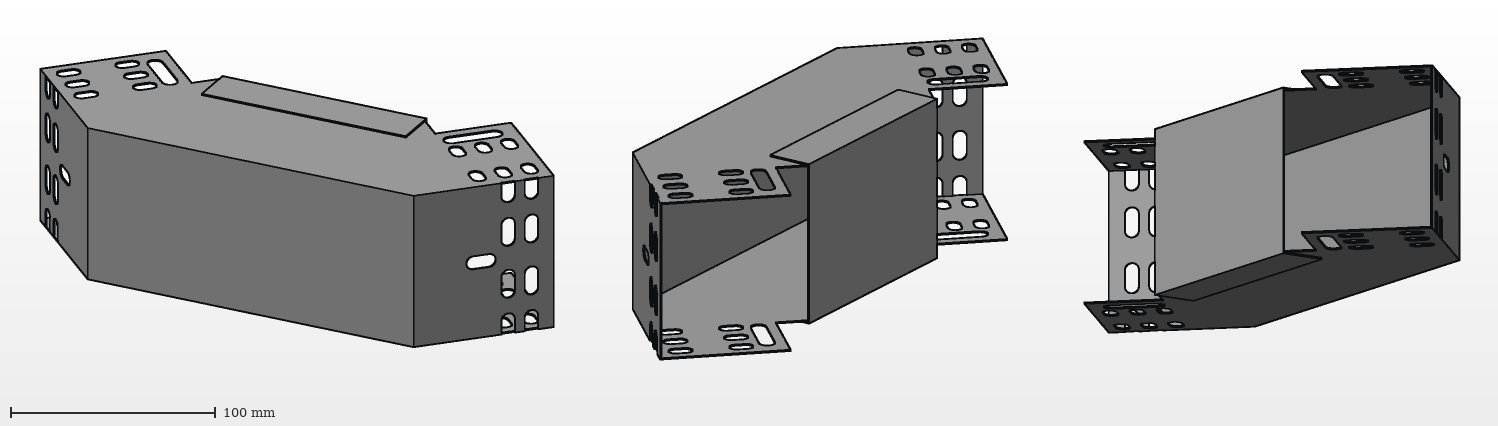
import cadquery as cq
import math

SPAN = 279.8
DEPTH = 97.0
HEIGHT = 83.0
SHEET = 0.75
ARM_WIDTH = 65.0
ARM_INNER_LENGTH = 39.2

COVER_LENGTH = 111.0
COVER_DEPTH = 23.0
COVER_BACK = 81.7

SLOT_WIDTH = 7.0
PLATE_SLOT_LENGTH = 12.0
PLATE_SLOT_FIRST = 8.7
PLATE_SLOT_PITCH = 13.5
PLATE_SLOT_COLUMNS = 3
PLATE_SLOT_ROWS = (11.8, 42.0)
LONG_SLOT_LENGTH = 30.2
LONG_SLOT_WIDTH = 7.8
LONG_SLOT_ALONG = 23.0
LONG_SLOT_ACROSS = 55.5

WALL_SLOT_LENGTH = 15.0
WALL_SLOT_COLUMNS = (11.5, 23.5)
INNER_SLOT_HEIGHT = 14.0
EDGE_SLOT_HEIGHT = 37.5
CROSS_SLOT_LENGTH = 15.0
CROSS_SLOT_ALONG = 37.5

ARM_ANGLE = 45.0
DIAGONAL = math.sqrt(0.5)
HOUSING_HEIGHT = HEIGHT - 2 * SHEET
INNER_HEIGHT = HOUSING_HEIGHT - 2 * SHEET
WALL_RISE = DEPTH - ARM_WIDTH * DIAGONAL
INNER_EDGE = COVER_BACK - SHEET
TIP = (-SPAN / 2, WALL_RISE)


def plan_outline():
    """Closed outline of the top and bottom plates."""
    front_x = SPAN / 2 - WALL_RISE
    end_x = SPAN / 2 - ARM_WIDTH * DIAGONAL
    notch_x = end_x - ARM_INNER_LENGTH * DIAGONAL
    notch_y = DEPTH - ARM_INNER_LENGTH * DIAGONAL
    inner_x = notch_x - (INNER_EDGE - notch_y)
    right_side = [
        (front_x, 0),
        (SPAN / 2, WALL_RISE),
        (end_x, DEPTH),
        (notch_x, notch_y),
        (inner_x, INNER_EDGE),
    ]
    left_side = [(-x, y) for x, y in reversed(right_side)]
    return right_side + left_side


def interior():
    """Space between the plates and behind the three walls, open at the inner side."""
    wall_offset = SHEET / DIAGONAL
    front_x = SPAN / 2 - WALL_RISE + SHEET - wall_offset
    far_x = front_x + DEPTH
    points = [
        (-front_x, SHEET),
        (front_x, SHEET),
        (far_x, SHEET + DEPTH),
        (-far_x, SHEET + DEPTH),
    ]
    return cq.Workplane("XY").polyline(points).close().extrude(INNER_HEIGHT / 2, both=True)


def arm_plate_slots():
    """Cutters for the left arm's plates; local X runs along the arm, local Y across it."""
    short_slots = [
        (PLATE_SLOT_FIRST + column * PLATE_SLOT_PITCH, row)
        for column in range(PLATE_SLOT_COLUMNS)
        for row in PLATE_SLOT_ROWS
    ]
    cutters = (
        cq.Workplane("XY")
        .pushPoints(short_slots)
        .slot2D(PLATE_SLOT_LENGTH, SLOT_WIDTH, 90)
        .extrude(HOUSING_HEIGHT, both=True)
    )
    long_slot = (
        cq.Workplane("XY")
        .center(LONG_SLOT_ALONG, LONG_SLOT_ACROSS)
        .slot2D(LONG_SLOT_LENGTH, LONG_SLOT_WIDTH)
        .extrude(HOUSING_HEIGHT, both=True)
    )
    return cutters.union(long_slot)


def arm_wall_slots():
    """Cutters through the thickness of the left arm's outer wall, which lies on local Y = 0."""
    heights = (-EDGE_SLOT_HEIGHT, -INNER_SLOT_HEIGHT, INNER_SLOT_HEIGHT, EDGE_SLOT_HEIGHT)
    upright_slots = [(along, height) for along in WALL_SLOT_COLUMNS for height in heights]
    cutters = (
        cq.Workplane("XZ")
        .pushPoints(upright_slots)
        .slot2D(WALL_SLOT_LENGTH, SLOT_WIDTH, 90)
        .extrude(SHEET, both=True)
    )
    cross_slot = (
        cq.Workplane("XZ")
        .center(CROSS_SLOT_ALONG, 0)
        .slot2D(CROSS_SLOT_LENGTH, SLOT_WIDTH)
        .extrude(SHEET, both=True)
    )
    return cutters.union(cross_slot)


def on_left_arm(cutters):
    """Turn and move cutters from the arm's local axes to the left arm."""
    return cutters.rotate((0, 0, 0), (0, 0, 1), -ARM_ANGLE).translate((*TIP, 0))


def make_housing():
    """Elbow of a cable tray: two plates joined by three outer walls, slotted at both arms."""
    body = cq.Workplane("XY").polyline(plan_outline()).close().extrude(HOUSING_HEIGHT / 2, both=True)
    body = body.cut(interior())
    plate_slots = on_left_arm(arm_plate_slots())
    wall_slots = on_left_arm(arm_wall_slots())
    between_plates = cq.Workplane("XY").box(2 * SPAN, 2 * SPAN, INNER_HEIGHT)
    body = body.cut(plate_slots).cut(plate_slots.mirror("YZ"))
    body = body.cut(wall_slots.intersect(between_plates))
    body = body.cut(wall_slots.mirror("YZ"))
    return body


def make_cover():
    """U-channel whose web closes the inner side and whose flanges lie on the plates."""
    channel = cq.Workplane("XY").box(COVER_LENGTH, COVER_DEPTH, HEIGHT)
    channel = channel.translate((0, COVER_BACK - COVER_DEPTH / 2, 0))
    mouth = cq.Workplane("XY").box(COVER_LENGTH, COVER_DEPTH, HOUSING_HEIGHT)
    mouth = mouth.translate((0, INNER_EDGE - COVER_DEPTH / 2, 0))
    return channel.cut(mouth)


housing = make_housing()
cover = make_cover()
result = cq.Compound.makeCompound([housing.val(), cover.val()])